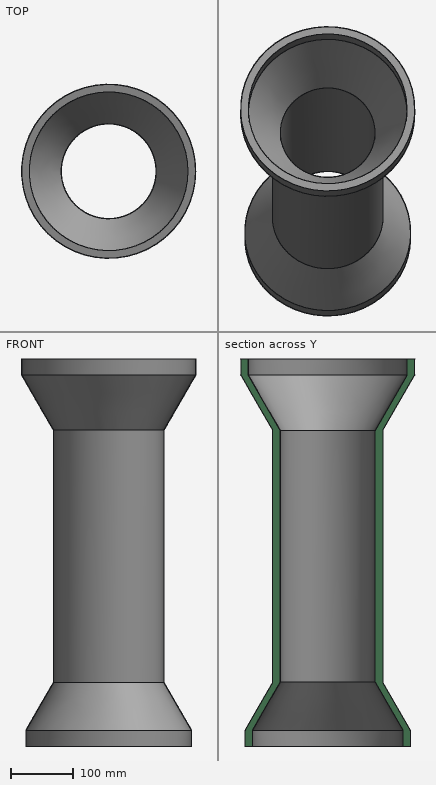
import cadquery as cq
import math

height = 622.0
top_diameter = 279.5
bottom_diameter = 266.0
tube_diameter = 178.0
bore_diameter = 152.0

rim_height = 26.0
rim_wall = 12.5
cone_angle = 30.0


def cone_length(large_radius, small_radius):
    """Axial length of a cone between two radii."""
    return (large_radius - small_radius) / math.tan(math.radians(cone_angle))


def spool(top_radius, bottom_radius, tube_radius):
    """Solid of revolution about Z with a rim and a cone at each end."""
    bottom_cone_end = rim_height + cone_length(bottom_radius, tube_radius)
    top_cone_start = height - rim_height - cone_length(top_radius, tube_radius)
    return (
        cq.Workplane("XZ")
        .moveTo(0, 0)
        .lineTo(bottom_radius, 0)
        .lineTo(bottom_radius, rim_height)
        .lineTo(tube_radius, bottom_cone_end)
        .lineTo(tube_radius, top_cone_start)
        .lineTo(top_radius, height - rim_height)
        .lineTo(top_radius, height)
        .lineTo(0, height)
        .close()
        .revolve(360, (0, 0, 0), (0, 1, 0))
    )


outer = spool(top_diameter / 2, bottom_diameter / 2, tube_diameter / 2)

passage = spool(
    top_diameter / 2 - rim_wall,
    bottom_diameter / 2 - rim_wall,
    bore_diameter / 2,
)

result = outer.cut(passage)